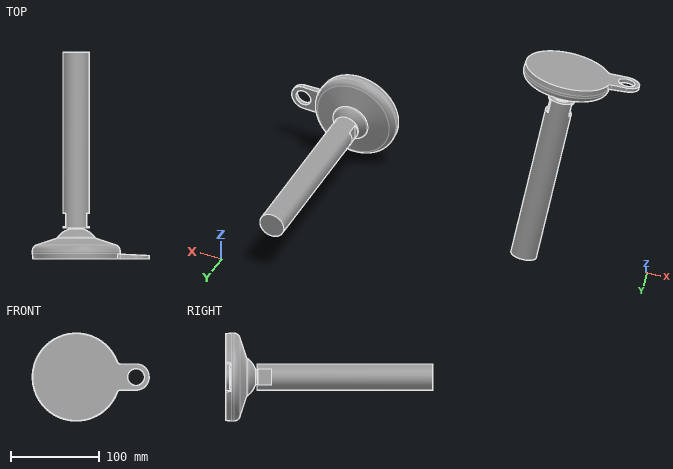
import cadquery as cq
import math

total_height = 235.0

sole_radius = 49.4
rim_radius = 50.0
rim_bottom = 6.3
rim_top = 9.2
shoulder_fillet = 7.5
cone_angle = math.radians(18.3)
collar_bottom_radius = 21.9
collar_top_radius = 21.0
ball_radius = 26.5
ball_center = 9.0

spindle_radius = 15.0
spindle_bottom = 35.2
neck_radius = 8.7
flat_offset = 12.0
flat_bottom = 37.0
flat_length = 15.0

lug_radius = spindle_radius
lug_center = 68.0
lug_hole_radius = 9.5
lug_root_fillet = 4.7
lug_root_height = 5.9
lug_tip_height = 4.2


def make_foot():
    """Tapered rim, rounded shoulder, cone, collar and ball cap."""
    fillet_center = rim_radius - shoulder_fillet

    def on_shoulder(angle):
        return (fillet_center + shoulder_fillet * math.cos(angle),
                rim_top + shoulder_fillet * math.sin(angle))

    def on_ball(radius):
        return (radius, ball_center + math.sqrt(ball_radius**2 - radius**2))

    cone_start_angle = math.pi / 2 - cone_angle
    cone_start = on_shoulder(cone_start_angle)
    cone_rise = (cone_start[0] - collar_bottom_radius) * math.tan(cone_angle)
    cone_end = (collar_bottom_radius, cone_start[1] + cone_rise)
    profile = (
        cq.Workplane("XY")
        .lineTo(sole_radius, 0)
        .lineTo(rim_radius, rim_bottom)
        .lineTo(rim_radius, rim_top)
        .threePointArc(on_shoulder(cone_start_angle / 2), cone_start)
        .lineTo(*cone_end)
        .lineTo(*on_ball(collar_top_radius))
        .threePointArc(on_ball(collar_top_radius / 2), on_ball(0))
        .close()
    )
    return profile.revolve(360, (0, 0, 0), (0, 1, 0))


def cylinder_along_y(radius, bottom, top):
    return cq.Workplane("XZ", origin=(0, bottom, 0)).circle(radius).extrude(bottom - top)


def make_spindle():
    """Plain rod with two opposite wrench flats and a thin neck to the ball."""
    spindle = cylinder_along_y(spindle_radius, spindle_bottom, total_height)
    for side in (-1, 1):
        cutter = cq.Workplane("XY").box(spindle_radius, flat_length, 2 * spindle_radius)
        spindle = spindle.cut(cutter.translate(
            (side * (flat_offset + spindle_radius / 2), flat_bottom + flat_length / 2, 0)))
    return spindle.union(cylinder_along_y(neck_radius, ball_center, spindle_bottom))


def make_lug():
    """Round-ended lug blended into the sole, thinner towards its tip."""
    blend_y = lug_radius + lug_root_fillet
    blend_distance = sole_radius + lug_root_fillet
    blend_x = math.sqrt(blend_distance**2 - blend_y**2)
    blend_angle = math.atan2(blend_y, blend_x)
    contact = (sole_radius * math.cos(blend_angle), sole_radius * math.sin(blend_angle))
    arc_angle = (blend_angle + math.pi + 3 * math.pi / 2) / 2
    arc_mid = (blend_x + lug_root_fillet * math.cos(arc_angle),
               blend_y + lug_root_fillet * math.sin(arc_angle))
    lug_tip = lug_center + lug_radius
    outline = (
        cq.Workplane("XZ")
        .lineTo(*contact)
        .threePointArc(arc_mid, (blend_x, lug_radius))
        .lineTo(lug_center, lug_radius)
        .threePointArc((lug_tip, 0), (lug_center, -lug_radius))
        .lineTo(blend_x, -lug_radius)
        .threePointArc((arc_mid[0], -arc_mid[1]), (contact[0], -contact[1]))
        .close()
        .extrude(-lug_root_height)
    )
    wedge = (
        cq.Workplane("XY")
        .lineTo(lug_tip, 0)
        .lineTo(lug_tip, lug_tip_height)
        .lineTo(sole_radius, lug_root_height)
        .lineTo(0, lug_root_height)
        .close()
        .extrude(sole_radius, both=True)
    )
    hole = cylinder_along_y(lug_hole_radius, 0, lug_root_height).translate((lug_center, 0, 0))
    return outline.intersect(wedge).cut(hole)


result = make_foot().union(make_spindle()).union(make_lug())